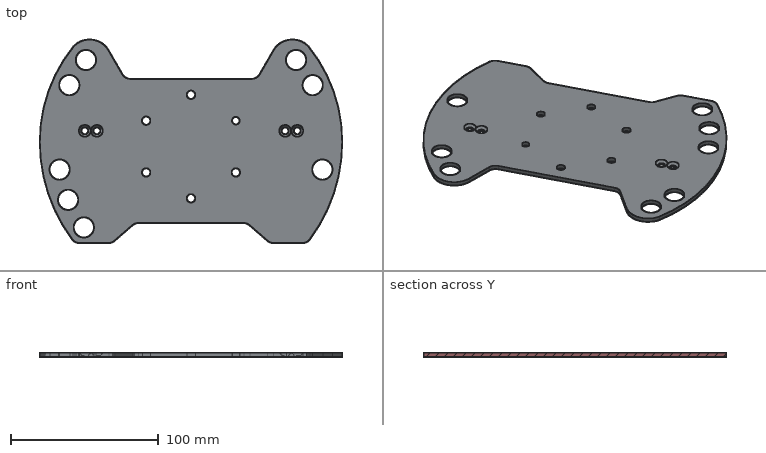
import cadquery as cq
import math

length = 205.0
thickness = 3.0
half_length = length / 2

widest_y = 3.3
upper_side_radius = 102.5
lower_side_radius = 110.7

lobe_x = 68.7
lobe_y = 57.6
lobe_radius = 15.0
lobe_side_angle = math.radians(137)
lobe_flank_angle = math.radians(30)

back_edge_y = 46.0
foot_y = -65.5
foot_inner_x = 53.5
front_edge_y = -51.9
front_edge_half_length = 38.0
corner_radius = 6.2

large_hole_diameter = 13.5
paired_hole_points = [(71.1, 58.6), (82.5, 41.6), (89.0, -15.5)]
left_hole_points = [(-83.2, -36.0), (-72.5, -54.7)]
hex_pattern_radius = 35.0
hex_hole_diameter = 5.5
small_hex_hole_diameter = 5.0
small_hex_hole_index = 0
screw_hole_diameter = 4.5
countersink_diameter = 8.0
countersink_angle = 90
screw_pair_x = 67.9
screw_pair_spacing = 8.2
screw_pair_y = 10.7


def side_arc_x(y, radius):
    """Distance of a side arc from the centre line at height y."""
    return half_length - radius + math.sqrt(radius**2 - (y - widest_y) ** 2)


def lobe_point(angle):
    """Point on the left lobe at an angle from +X."""
    return (-lobe_x + lobe_radius * math.cos(angle), lobe_y + lobe_radius * math.sin(angle))


def make_half_plate():
    """Left half of the plate, closed along the centre line."""
    lobe_start = lobe_point(lobe_side_angle)
    flank_start = lobe_point(lobe_flank_angle)
    flank_run = (flank_start[1] - back_edge_y) * math.tan(lobe_flank_angle)
    neck = (flank_start[0] + flank_run, back_edge_y)
    foot_outer = (-side_arc_x(foot_y, lower_side_radius), foot_y)
    foot_inner = (-foot_inner_x, foot_y)
    front_corner = (-front_edge_half_length, front_edge_y)
    lower_mid_y = (foot_y + widest_y) / 2
    upper_mid_y = (lobe_start[1] + widest_y) / 2

    plate = (
        cq.Workplane("XY")
        .moveTo(*foot_outer)
        .threePointArc((-side_arc_x(lower_mid_y, lower_side_radius), lower_mid_y), (-half_length, widest_y))
        .threePointArc((-side_arc_x(upper_mid_y, upper_side_radius), upper_mid_y), lobe_start)
        .threePointArc(lobe_point(math.pi / 2), flank_start)
        .lineTo(*neck)
        .lineTo(0, back_edge_y)
        .lineTo(0, front_edge_y)
        .lineTo(*front_corner)
        .lineTo(*foot_inner)
        .close()
        .extrude(thickness)
    )
    for x, y in (neck, foot_outer, foot_inner, front_corner):
        corner = cq.selectors.NearestToPointSelector((x, y, thickness / 2))
        plate = plate.edges("|Z").edges(corner).fillet(corner_radius)
    return plate


def cut_holes(plate, points, diameter):
    return plate.faces(">Z").workplane(origin=(0, 0, thickness)).pushPoints(points).hole(diameter)


half_plate = make_half_plate()
result = half_plate.union(half_plate.mirror("YZ")).clean()

large_hole_points = [(side * x, y) for side in (-1, 1) for x, y in paired_hole_points]
result = cut_holes(result, large_hole_points + left_hole_points, large_hole_diameter)

for index in range(6):
    angle = math.radians(30 + 60 * index)
    point = (hex_pattern_radius * math.cos(angle), hex_pattern_radius * math.sin(angle))
    diameter = small_hex_hole_diameter if index == small_hex_hole_index else hex_hole_diameter
    result = cut_holes(result, [point], diameter)

screw_points = [
    (side * (screw_pair_x + offset * screw_pair_spacing / 2), screw_pair_y)
    for side in (-1, 1)
    for offset in (-1, 1)
]
result = (
    result.faces(">Z")
    .workplane(origin=(0, 0, thickness))
    .pushPoints(screw_points)
    .cskHole(screw_hole_diameter, countersink_diameter, countersink_angle)
)